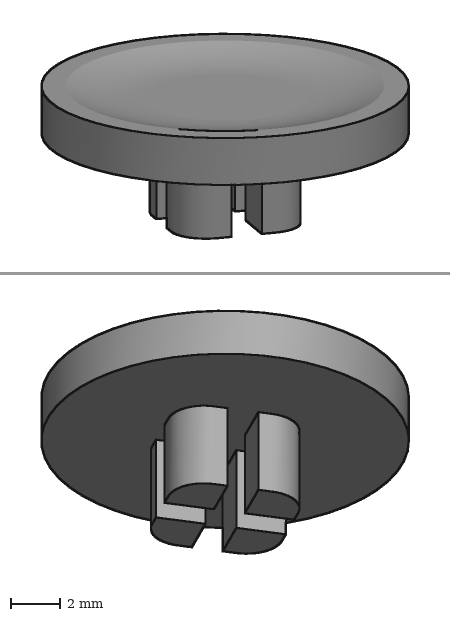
import cadquery as cq
import math

disc_diameter = 15.0
disc_radius = disc_diameter / 2
disc_thickness = 2.0
rim_width = 1.0
dish_radius = disc_radius - rim_width
floor_radius = 3.38
dish_depth = 0.5

prong_length = 3.6
prong_outer_reach = 2.75
slot_width = 1.3
prong_inner_reach = slot_width / 2
prong_round_radius = 1.5


def dished_disc():
    """Flat disc whose top is hollowed by a concave flank around a flat floor."""
    floor_height = disc_thickness - dish_depth
    flank_run = dish_radius - floor_radius
    flank_radius = (flank_run**2 + dish_depth**2) / (2 * dish_depth)
    half_angle = math.asin(flank_run / flank_radius) / 2
    flank_middle = (
        floor_radius + flank_radius * math.sin(half_angle),
        floor_height + flank_radius * (1 - math.cos(half_angle)),
    )
    return (
        cq.Workplane("XZ")
        .lineTo(disc_radius, 0)
        .lineTo(disc_radius, disc_thickness)
        .lineTo(dish_radius, disc_thickness)
        .threePointArc(flank_middle, (floor_radius, floor_height))
        .lineTo(0, floor_height)
        .close()
        .revolve(360, (0, 0), (0, 1))
    )


def prong():
    """Prong in the +X +Y quadrant: a square bar with its outer corner rounded."""
    side = prong_outer_reach - prong_inner_reach
    return (
        cq.Workplane("XY")
        .rect(side, side)
        .extrude(-prong_length)
        .edges("|Z and >X and >Y")
        .fillet(prong_round_radius)
        .translate((prong_inner_reach + side / 2, prong_inner_reach + side / 2, 0))
    )


result = dished_disc()
for quadrant in range(4):
    result = result.union(prong().rotate((0, 0, 0), (0, 0, 1), 90 * quadrant))